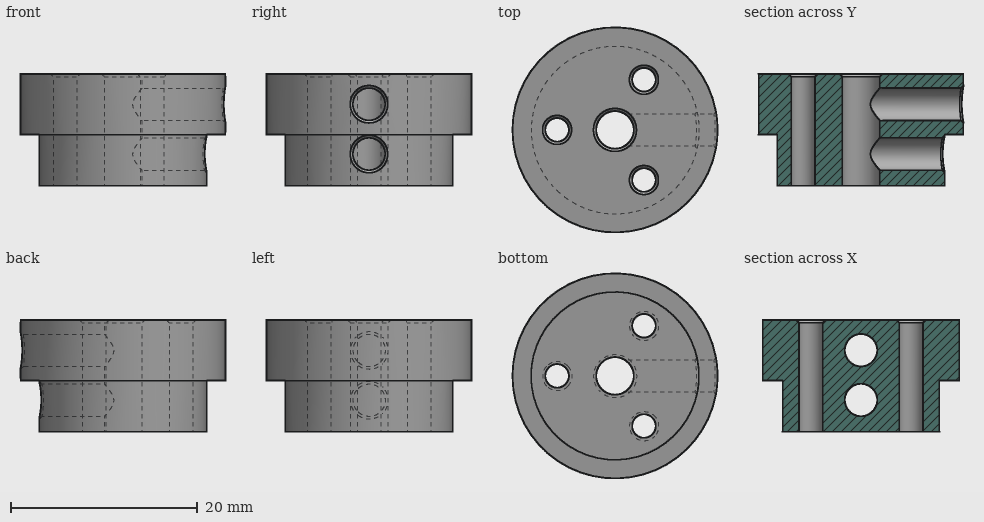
import cadquery as cq

flange_diameter = 22.0
hub_diameter = 18.0
total_height = 12.0
flange_thickness = 6.5
hub_height = total_height - flange_thickness

bore_diameter = 4.0
mount_hole_diameter = 2.5
mount_circle_radius = 6.2
mount_hole_count = 3
first_mount_angle = 60.0
top_chamfer = 0.3

screw_hole_diameter = 3.45
screw_chamfer = 0.29
flange_screw_height = hub_height + flange_thickness / 2
hub_screw_height = 3.4


def make_step(diameter, bottom, height, screw_height):
    """One round step with a set screw hole from its axis out to +X, chamfered around the mouth."""
    radius = diameter / 2
    base_plane = cq.Plane(origin=(0, 0, bottom), xDir=(-1, 0, 0), normal=(0, 0, 1))
    step = cq.Workplane(base_plane).circle(radius).extrude(height)
    screw_plane = cq.Workplane("YZ", origin=(0, 0, screw_height))
    screw_cutter = screw_plane.circle(screw_hole_diameter / 2).extrude(diameter)
    drilled = step.cut(screw_cutter)
    mouth_centre = (radius, 0, screw_height)
    return drilled.edges(cq.selectors.NearestToPointSelector(mouth_centre)).chamfer(screw_chamfer)


def top_hole_cutter(diameter):
    """Through-hole cutter on the Z axis, widening to a chamfered mouth at the top face."""
    radius = diameter / 2
    profile = (
        cq.Workplane("XZ")
        .lineTo(radius, 0)
        .lineTo(radius, total_height - top_chamfer)
        .lineTo(radius + top_chamfer, total_height)
        .lineTo(0, total_height)
        .close()
    )
    return profile.revolve(360, (0, 0, 0), (0, 1, 0))


flange = make_step(flange_diameter, hub_height, flange_thickness, flange_screw_height)
hub = make_step(hub_diameter, 0, hub_height, hub_screw_height)
body = hub.union(flange)

mount_points = cq.Workplane("XY").polarArray(mount_circle_radius, first_mount_angle, 360, mount_hole_count)
mount_cutter = top_hole_cutter(mount_hole_diameter).val()
mount_holes = mount_points.eachpoint(lambda location: mount_cutter.moved(location))

result = body.cut(top_hole_cutter(bore_diameter)).cut(mount_holes)